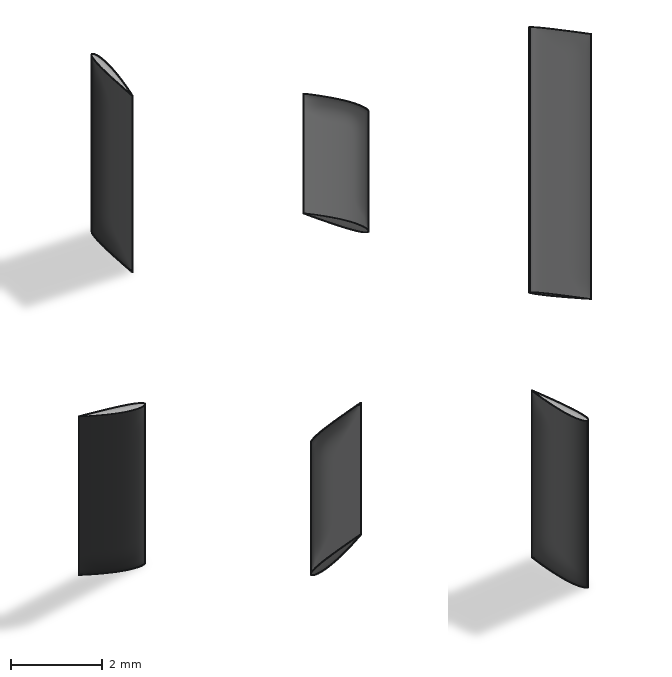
import cadquery as cq
import math

span = 6.0
chord = 1.5
thickness = 0.18
camber_height = 0.0215
camber_position = 0.57
panels_per_side = 100

THICKNESS_SCALE = 5.0
ROOT_TERM = 0.2969
POWER_TERMS = (-0.1260, -0.3516, 0.2843, -0.1015)


def half_thickness(x):
    """Distance from the mean line to either surface."""
    fraction = x / chord
    powers = sum(term * fraction ** power for power, term in enumerate(POWER_TERMS, start=1))
    return THICKNESS_SCALE * thickness * (ROOT_TERM * math.sqrt(fraction) + powers)


def mean_line(x):
    """Height and slope angle of the mean line, two parabolas that meet at its highest point."""
    reach = camber_position if x < camber_position else chord - camber_position
    offset = (x - camber_position) / reach
    height = camber_height * (1 - offset ** 2)
    slope = -2 * camber_height * offset / reach
    return height, math.atan(slope)


def surface_point(x, side):
    """Point on the upper (side = 1) or lower (side = -1) surface, square to the mean line."""
    height, angle = mean_line(x)
    distance = side * half_thickness(x)
    return (x - distance * math.sin(angle), height + distance * math.cos(angle))


stations = [chord * i / panels_per_side for i in range(panels_per_side + 1)]
upper_surface = [surface_point(x, 1) for x in stations]
lower_surface = [surface_point(x, -1) for x in reversed(stations[1:])]

result = cq.Workplane("XY").polyline(upper_surface + lower_surface).close().extrude(span)